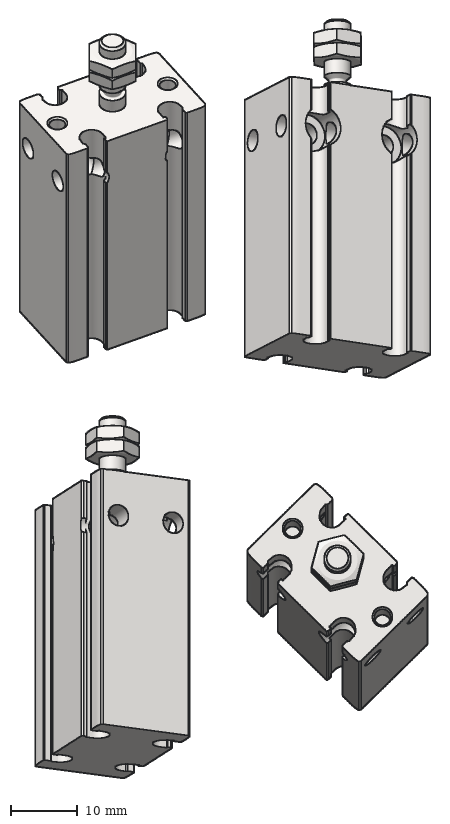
import cadquery as cq
import math

housing_width = 15.0
housing_depth = 24.0
housing_height = 40.0
half_width = housing_width / 2
half_depth = housing_depth / 2

flank_radius = 5.5
flank_start_y = 10.55
bevel_width = 0.45
bevel_start_y = 11.8

slot_outer_lip_y = 8.35
slot_inner_lip_y = 5.3
outer_lip_depth = 1.15
inner_lip_depth = 0.85
outer_chamfer_depth = 0.13
outer_chamfer_width = 0.25
inner_chamfer_depth = 0.3
inner_chamfer_width = 0.1
slot_inner_wall_y = 4.95
slot_radius = 1.8
slot_center_y = slot_inner_wall_y + slot_radius
slot_depth = 3.8
notch_depth = 1.35
notch_y = 8.65
notch_wall_overrun = 0.45

screw_hole_diameter = 3.3
screw_hole_z = 33.0
long_hole_spacing = 9.0
long_hole_x = long_hole_spacing / 2
short_hole_y = 6.5
counterbore_diameter = 6.0
counterbore_depth = 5.0

tapped_hole_y = 9.5
tapped_hole_diameter = 2.45
tapped_mouth_diameter = 3.0
tapped_hole_depth = 5.0

rod_diameter = 4.0
rod_tip_diameter = 3.2
rod_top_z = 52.0
neck_diameter = 2.65
neck_bottom_z = 42.1
neck_cone_top_z = 43.5
neck_fillet = 0.15

nut_count = 2
nut_across_flats = 7.0
nut_height = 2.2
nut_stack_bottom_z = 45.7
nut_top_circle = 6.0
nut_bottom_circle = 6.8
nut_chamfer_angle = 17


def housing_blank():
    """Block with gently rounded flanks and bevelled vertical corners."""
    rise = bevel_start_y - flank_start_y
    drop = flank_radius - math.sqrt(flank_radius**2 - rise**2)
    mid_rise = rise / 2
    mid_drop = flank_radius - math.sqrt(flank_radius**2 - mid_rise**2)
    arc_mid = (half_width - mid_drop, flank_start_y + mid_rise)
    arc_end = (half_width - drop, bevel_start_y)
    quarter = (
        cq.Workplane("XY")
        .lineTo(half_width, 0)
        .lineTo(half_width, flank_start_y)
        .threePointArc(arc_mid, arc_end)
        .lineTo(half_width - bevel_width, half_depth)
        .lineTo(0, half_depth)
        .close()
        .extrude(housing_height)
    )
    half = quarter.union(quarter.mirror("YZ"))
    return half.union(half.mirror("XZ")).clean()


def slot_cutter():
    """Slot of the +X, +Y quadrant, with a lip on each side of its mouth."""
    arc_center_x = half_width - slot_depth + slot_radius
    arc_end_x = arc_center_x - notch_wall_overrun
    arc_end_y = slot_center_y + math.sqrt(slot_radius**2 - notch_wall_overrun**2)
    return (
        cq.Workplane("XY")
        .moveTo(half_width, slot_inner_lip_y - inner_chamfer_width)
        .lineTo(half_width - inner_chamfer_depth, slot_inner_lip_y)
        .lineTo(half_width - inner_lip_depth, slot_inner_lip_y)
        .lineTo(half_width - inner_lip_depth, slot_inner_wall_y)
        .lineTo(arc_center_x, slot_inner_wall_y)
        .threePointArc((half_width - slot_depth, slot_center_y), (arc_end_x, arc_end_y))
        .lineTo(half_width - notch_depth, notch_y)
        .lineTo(half_width - outer_lip_depth, slot_outer_lip_y)
        .lineTo(half_width - outer_chamfer_depth, slot_outer_lip_y)
        .lineTo(half_width, slot_outer_lip_y + outer_chamfer_width)
        .close()
        .extrude(housing_height)
    )


def cut_slots(body):
    """Cut the slot in all four quadrants."""
    right_slot = slot_cutter()
    for slot in (right_slot, right_slot.mirror("YZ")):
        body = body.cut(slot).cut(slot.mirror("XZ"))
    return body


def cut_screw_holes(body):
    """Drill through along Y and along X; the X holes are counterbored from the -X side."""
    hole_radius = screw_hole_diameter / 2
    for side in (-1, 1):
        along_y = cq.Solid.makeCylinder(
            hole_radius,
            housing_depth,
            cq.Vector(side * long_hole_x, -half_depth, screw_hole_z),
            cq.Vector(0, 1, 0),
        )
        mouth = cq.Vector(-half_width, side * short_hole_y, screw_hole_z)
        inward = cq.Vector(1, 0, 0)
        along_x = cq.Solid.makeCylinder(hole_radius, housing_width, mouth, inward)
        counterbore = cq.Solid.makeCylinder(counterbore_diameter / 2, counterbore_depth, mouth, inward)
        body = body.cut(cq.Workplane(along_y)).cut(cq.Workplane(along_x)).cut(cq.Workplane(counterbore))
    return body


def cut_tapped_holes(body):
    """Two blind holes in the top face with countersunk mouths."""
    return (
        body.faces(">Z")
        .workplane(origin=(0, 0, housing_height))
        .pushPoints([(0, -tapped_hole_y), (0, tapped_hole_y)])
        .cskHole(tapped_hole_diameter, tapped_mouth_diameter, 90, tapped_hole_depth)
    )


def make_housing():
    body = cut_slots(housing_blank())
    return cut_tapped_holes(cut_screw_holes(body))


def make_rod():
    """Rod standing on the housing, with a bevelled tip and a necked groove below the nuts."""
    rod_radius = rod_diameter / 2
    neck_radius = neck_diameter / 2
    tip_radius = rod_tip_diameter / 2
    neck_top_z = neck_cone_top_z - (rod_radius - neck_radius)
    rod = (
        cq.Workplane("XZ")
        .moveTo(0, housing_height)
        .lineTo(rod_radius, housing_height)
        .lineTo(rod_radius, neck_bottom_z)
        .lineTo(neck_radius, neck_bottom_z)
        .lineTo(neck_radius, neck_top_z)
        .lineTo(rod_radius, neck_cone_top_z)
        .lineTo(rod_radius, rod_top_z - (rod_radius - tip_radius))
        .lineTo(tip_radius, rod_top_z)
        .lineTo(0, rod_top_z)
        .close()
        .revolve(360, (0, 0), (0, 1))
    )
    neck_ends = cq.selectors.BoxSelector(
        (-neck_radius, -neck_radius, neck_bottom_z - neck_fillet),
        (neck_radius, neck_radius, neck_top_z + neck_fillet),
    )
    return rod.edges("%CIRCLE").edges(cq.selectors.RadiusNthSelector(0)).edges(neck_ends).fillet(neck_fillet)


def make_nut(bottom_z):
    """Hexagon nut with corners toward +Y and -Y, coned at both ends, bored to fit the rod."""
    corner_radius = nut_across_flats / math.sqrt(3)
    slope = math.tan(math.radians(nut_chamfer_angle))
    top_radius = nut_top_circle / 2
    bottom_radius = nut_bottom_circle / 2
    hexagon = (
        cq.Workplane("XY")
        .polygon(6, 2 * corner_radius)
        .extrude(nut_height)
        .rotate((0, 0, 0), (0, 0, 1), 90)
    )
    envelope = (
        cq.Workplane("XZ")
        .lineTo(bottom_radius, 0)
        .lineTo(corner_radius, (corner_radius - bottom_radius) * slope)
        .lineTo(corner_radius, nut_height - (corner_radius - top_radius) * slope)
        .lineTo(top_radius, nut_height)
        .lineTo(0, nut_height)
        .close()
        .revolve(360, (0, 0), (0, 1))
    )
    bore = cq.Workplane("XY").circle(rod_diameter / 2).extrude(nut_height)
    return hexagon.intersect(envelope).cut(bore).translate((0, 0, bottom_z))


housing = make_housing()
rod = make_rod()
nuts = [make_nut(nut_stack_bottom_z + i * nut_height) for i in range(nut_count)]

result = cq.Compound.makeCompound([housing.val(), rod.val(), *[nut.val() for nut in nuts]])